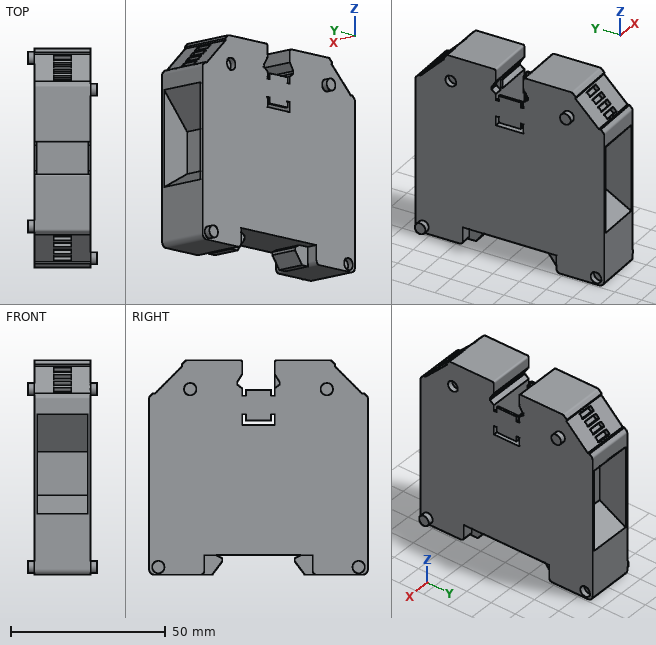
import cadquery as cq
import math


body_width = 18.3
body_length = 71.0
body_height = 69.6
half_width = body_width / 2
half_length = body_length / 2

lip_line = 93.1
slope_line = 92.35
lip_top_z = 68.2
slope_top_z = 67.65
slope_bottom_z = 58.8
lip_bottom_z = 58.85
lip_rounding = 1.05

rail_gap_half = 17.55
rail_gap_height = 6.45
foot_outer_rounding = 1.9
foot_inner_rounding = 1.4

notch_half = 5.2
notch_floor_z = 48.6
notch_top_rounding = 0.7
groove_top_z = 65.1
groove_bottom_z = 60.4
groove_apex_y = 6.85
groove_apex_top_z = 62.5
groove_apex_bottom_z = 61.7

web_thickness = 0.85
web_core_half = 4.1
web_core_bottom_z = 50.0
web_core_top_z = 60.0
web_arm_bottom_z = 52.0
web_arm_top_z = 58.1

rib_thickness = 1.2
rib_inset = 3.1

hook_inset = 4.0
hook_width = body_width - 2 * hook_inset
hook_outer_y = 17.9
hook_toe_y = 15.0
hook_tip_y = 11.7
hook_tip_bottom_z = 4.4
hook_tip_top_z = 5.4
hook_root_y = 13.7

entry_width = 16.3
entry_outer_bottom_z = 19.8
entry_outer_top_z = 52.1
entry_inner_bottom_z = 25.9
entry_inner_top_z = 39.9
entry_depth = 10.7

vent_count = 4
vent_length = 5.7
vent_width = 1.93
vent_depth = 1.6
vent_lean_depth = 0.7
vent_pitch = 3.05
vent_middle_z = 63.16
vent_lean_angle = 18

pin_radius = 2.0
pin_length = 2.1
upper_pin_y = 22.15
upper_pin_z = 60.2
lower_pin_y = 32.45
lower_pin_z = 2.55


def extrude_profile(points, x_start, width):
    """Extrude a closed (Y, Z) outline along +X from x_start."""
    return cq.Workplane("YZ", origin=(x_start, 0, 0)).polyline(points).close().extrude(width)


def slab(y_half, z_bottom, z_top, x_start, width):
    """Box centred on Y = 0 between two heights."""
    return extrude_profile(
        [(-y_half, z_bottom), (y_half, z_bottom), (y_half, z_top), (-y_half, z_top)], x_start, width
    )


def with_mirror(half):
    """Join a shape with its mirror image across the plane Y = 0."""
    return half.union(half.mirror("XZ"))


def make_body():
    rounded_corners = [
        (notch_half, body_height, notch_top_rounding),
        (lip_line - body_height, body_height, lip_rounding),
        (half_length, lip_line - half_length, lip_rounding),
        (half_length, 0, foot_outer_rounding),
        (rail_gap_half, 0, foot_inner_rounding),
    ]
    outline = [
        (0, notch_floor_z),
        (notch_half, notch_floor_z),
        (notch_half, groove_bottom_z),
        (groove_apex_y, groove_apex_bottom_z),
        (groove_apex_y, groove_apex_top_z),
        (notch_half, groove_top_z),
        (notch_half, body_height),
        (lip_line - body_height, body_height),
        (lip_line - lip_top_z, lip_top_z),
        (slope_line - slope_top_z, slope_top_z),
        (slope_line - slope_bottom_z, slope_bottom_z),
        (lip_line - lip_bottom_z, lip_bottom_z),
        (half_length, lip_line - half_length),
        (half_length, 0),
        (rail_gap_half, 0),
        (rail_gap_half, rail_gap_height),
        (0, rail_gap_height),
    ]
    half = extrude_profile(outline, -half_width, body_width)
    for y, z, radius in rounded_corners:
        corner = cq.selectors.NearestToPointSelector((0, y, z))
        half = half.edges("|X").edges(corner).fillet(radius)
    return with_mirror(half)


def make_webs():
    webs = cq.Workplane()
    for x_start in (-half_width, half_width - web_thickness):
        core = slab(web_core_half, web_core_bottom_z, web_core_top_z, x_start, web_thickness)
        arms = slab(notch_half, web_arm_bottom_z, web_arm_top_z, x_start, web_thickness)
        webs = webs.add(core.union(arms))
    return webs.combine()


def make_groove_rib():
    profile = [
        (notch_half, groove_bottom_z),
        (groove_apex_y, groove_apex_bottom_z),
        (groove_apex_y, groove_apex_top_z),
        (notch_half, groove_top_z),
    ]
    return extrude_profile(profile, rib_inset - half_width, rib_thickness)


def make_hooks():
    profile = [
        (hook_outer_y, 0),
        (hook_toe_y, 0),
        (hook_tip_y, hook_tip_bottom_z),
        (hook_tip_y, hook_tip_top_z),
        (hook_root_y, rail_gap_height),
        (hook_outer_y, rail_gap_height),
    ]
    return with_mirror(extrude_profile(profile, hook_inset - half_width, hook_width))


def make_wire_entries():
    profile = [
        (half_length, entry_outer_bottom_z),
        (half_length, entry_outer_top_z),
        (half_length - entry_depth, entry_inner_top_z),
        (half_length - entry_depth, entry_inner_bottom_z),
    ]
    return with_mirror(extrude_profile(profile, -entry_width / 2, entry_width))


def make_vents(side):
    """Slots sunk square to the slope on one Y side, each with a wall that leans out at the mouth."""
    narrowing = vent_lean_depth * math.tan(math.radians(vent_lean_angle))
    slope_plane = cq.Plane(
        origin=(-vent_length / 2, side * (slope_line - vent_middle_z), vent_middle_z),
        xDir=(0, side, 1),
        normal=(1, 0, 0),
    )
    slots = cq.Workplane()
    for index in range(vent_count):
        middle = (index - (vent_count - 1) / 2) * vent_pitch
        leaning_wall = middle - vent_width / 2
        square_wall = middle + vent_width / 2
        profile = [
            (0, square_wall),
            (-vent_depth, square_wall),
            (-vent_depth, leaning_wall + narrowing),
            (-vent_lean_depth, leaning_wall + narrowing),
            (0, leaning_wall),
        ]
        slots = slots.add(cq.Workplane(slope_plane).polyline(profile).close().extrude(vent_length))
    return slots.combine()


def make_pegs(face_x, side):
    """Two cylinders starting at face_x; the lower one lies toward side * Y, the upper one opposite."""
    places = [(-side * upper_pin_y, upper_pin_z), (side * lower_pin_y, lower_pin_z)]
    return (
        cq.Workplane("YZ", origin=(face_x, 0, 0))
        .pushPoints(places)
        .circle(pin_radius)
        .extrude(pin_length)
    )


result = make_body()
for addition in (make_webs(), make_groove_rib(), make_hooks()):
    result = result.union(addition)
result = result.cut(make_wire_entries()).cut(make_vents(1)).cut(make_vents(-1))

result = result.union(make_pegs(-half_width - pin_length, 1)).union(make_pegs(half_width, -1))
result = result.cut(make_pegs(-half_width, -1)).cut(make_pegs(half_width - pin_length, 1))